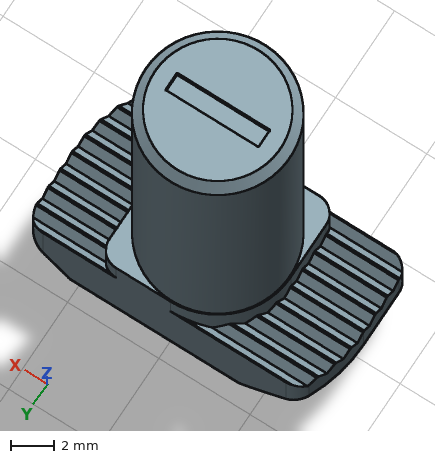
import cadquery as cq
import math

total_height = 24.5
head_length = 16.0
head_width = 8.0

head_height = 4.5
flank_size = 2.5
corner_radius = 1.0

collar_height = 1.5
shank_diameter = 7.91
tip_chamfer = 0.51

slot_length = 5.1
slot_width = 0.98
slot_depth = 0.3

groove_count = 8
groove_pitch = head_width / groove_count
crest_width = 0.1

half_length = head_length / 2
half_width = head_width / 2
collar_top = head_height + collar_height


def extruded_outline(outline, bottom, height):
    return outline.close().extrude(height).translate((0, 0, bottom))


def quadrant_box(x_sign, y_sign, height):
    """Block covering one quadrant of the head."""
    block = cq.Workplane("XY").box(half_length, half_width, height, centered=(True, True, False))
    return block.translate((x_sign * half_length / 2, y_sign * half_width / 2, 0))


def make_head():
    """Two opposite quadrants are straight, the other two turn about Z so the head can rotate."""
    base_half_length = half_length - flank_size
    profile = [
        (0, 0),
        (base_half_length, 0),
        (half_length, flank_size),
        (half_length, head_height),
        (0, head_height),
    ]
    turned = cq.Workplane("XZ").polyline(profile).close().revolve(360, (0, 0), (0, 1))
    straight = cq.Workplane("XZ").polyline(profile).close().extrude(half_width)
    straight = straight.mirror("YZ")
    head = straight.union(straight.rotate((0, 0, 0), (0, 0, 1), 180))
    for side in (1, -1):
        head = head.union(turned.intersect(quadrant_box(side, -side, head_height)))
    return head.intersect(make_head_envelope())


def make_head_envelope():
    """Prism that rounds the four vertical corners of the head."""
    arc_center_y = half_width - corner_radius
    arc_center_x = math.sqrt((half_length - corner_radius) ** 2 - arc_center_y**2)
    tangent_ratio = half_length / (half_length - corner_radius)
    tangent_x = arc_center_x * tangent_ratio
    tangent_y = arc_center_y * tangent_ratio
    middle_angle = math.atan2(tangent_y, tangent_x) / 2
    middle_x = half_length * math.cos(middle_angle)
    middle_y = half_length * math.sin(middle_angle)
    straight_x = half_length - corner_radius

    outline = cq.Workplane("XY").moveTo(half_length, 0)
    for side in (1, -1):
        outline = (
            outline.lineTo(side * half_length, side * arc_center_y)
            .radiusArc((side * straight_x, side * half_width), -corner_radius)
            .lineTo(-side * arc_center_x, side * half_width)
            .radiusArc((-side * tangent_x, side * tangent_y), -corner_radius)
            .threePointArc((-side * middle_x, side * middle_y), (-side * half_length, 0))
        )
    return extruded_outline(outline, 0, head_height)


def make_serration_cutter():
    """V grooves along X with narrow flat crests between them."""
    groove_half_width = (groove_pitch - crest_width) / 2
    groove_depth = groove_half_width
    cutter = cq.Workplane("YZ")
    for index in range(groove_count):
        groove_y = -half_width + (index + 0.5) * groove_pitch
        cutter = cutter.polyline(
            [
                (groove_y - groove_half_width, head_height),
                (groove_y, head_height - groove_depth),
                (groove_y + groove_half_width, head_height),
            ]
        ).close()
    return cutter.extrude(half_length, both=True)


def make_collar(bottom):
    """Round collar with two opposite quadrants squared off to rounded corners."""
    straight_end = half_width - corner_radius
    arc_middle = half_width * math.sqrt(0.5)
    outline = cq.Workplane("XY").moveTo(half_width, 0)
    for side in (1, -1):
        outline = (
            outline.lineTo(side * half_width, side * straight_end)
            .radiusArc((side * straight_end, side * half_width), -corner_radius)
            .lineTo(0, side * half_width)
            .threePointArc((-side * arc_middle, side * arc_middle), (-side * half_width, 0))
        )
    return extruded_outline(outline, bottom, collar_top - bottom)


def make_shank():
    shank = cq.Workplane("XY").workplane(offset=collar_top).circle(shank_diameter / 2)
    shank = shank.extrude(total_height - collar_top).faces(">Z").chamfer(tip_chamfer)
    return shank.faces(">Z").workplane().rect(slot_length, slot_width).cutBlind(-slot_depth)


serrated_head = make_head().cut(make_serration_cutter())
result = serrated_head.union(make_collar(flank_size)).union(make_shank())